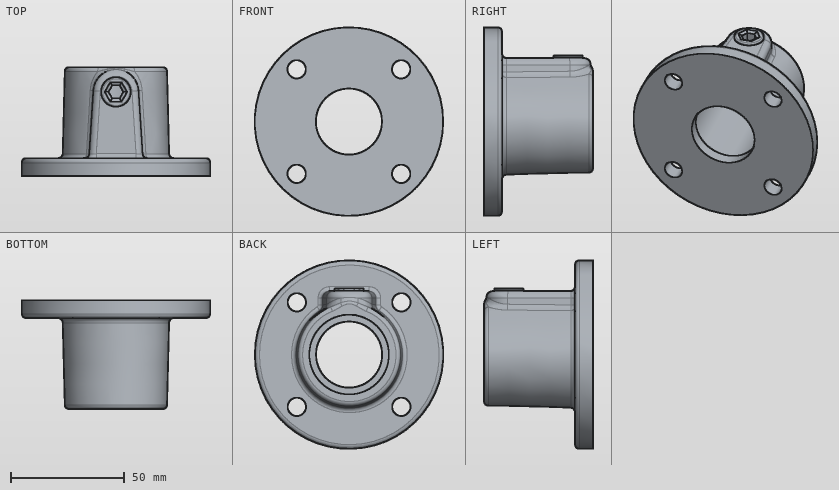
import cadquery as cq
import math

flange_diameter = 83.0
flange_thickness = 8.0
bolt_hole_diameter = 8.0
bolt_circle_diameter = 65.0
bolt_count = 4
first_bolt_angle = 45

overall_depth = 48.0
hub_end_radius = 22.5
hub_root_radius = 23.5

edge_round = 2.0

trim_allowance = 6.6

entry_bore_diameter = 29.0
entry_bore_depth = 5.7
socket_diameter = 35.0

pad_top = 28.0
pad_end_radius = 10.0
pad_taper_angle = 3.7
pad_edge_round = 3.0
pad_foot_fillet = 3.0

screw_y = 37.0
screw_diameter = 13.0
screw_top = 29.1
screw_tip = socket_diameter / 2
screw_edge_round = 0.62

hex_mouth_corners = 9.9
hex_corners = 6.55
hex_lead_in_depth = 0.8

pick_margin = 0.1


def cylinder_along_y(diameter, start, end):
    """Solid cylinder on the Y axis from y = start to y = end."""
    disc = cq.Workplane("XZ", origin=(0, start, 0)).circle(diameter / 2)
    return disc.extrude(start - end)


def make_flange():
    """Flange disc with its back rim rounded."""
    flange = cylinder_along_y(flange_diameter, 0, flange_thickness)
    return flange.faces(">Y").edges().fillet(edge_round)


def make_hub_blank():
    """Tapered hub on the Y axis, left long at its end; its seam is at the bottom."""
    taper_slope = (hub_root_radius - hub_end_radius) / (overall_depth - flange_thickness)
    blank_end_radius = hub_end_radius - taper_slope * trim_allowance
    blank_end = overall_depth + trim_allowance
    half_section = (
        cq.Workplane("YZ")
        .moveTo(flange_thickness, 0)
        .lineTo(flange_thickness, -hub_root_radius)
        .lineTo(blank_end, -blank_end_radius)
        .lineTo(blank_end, 0)
        .close()
    )
    return half_section.revolve(360, (0, 0, 0), (1, 0, 0))


def make_pad():
    """Pad that widens toward the flange, with its top edge rounded."""
    taper = math.radians(pad_taper_angle)
    tangent_x = pad_end_radius * math.cos(taper)
    tangent_y = screw_y + pad_end_radius * math.sin(taper)
    root_x = tangent_x + (tangent_y - flange_thickness) * math.tan(taper)
    pad = (
        cq.Workplane("XY")
        .moveTo(-root_x, flange_thickness)
        .lineTo(-tangent_x, tangent_y)
        .threePointArc((0, screw_y + pad_end_radius), (tangent_x, tangent_y))
        .lineTo(root_x, flange_thickness)
        .close()
        .extrude(pad_top)
    )
    return pad.faces(">Z").edges("not <Y").fillet(pad_edge_round)


def fillet_pad_foot(casting):
    """Fillet the corner where the pad rises out of the hub."""
    pad_foot = cq.selectors.BoxSelector(
        (-hub_end_radius, flange_thickness - pick_margin, 0),
        (hub_end_radius, overall_depth, hub_end_radius),
        boundingbox=True,
    )
    return casting.edges(pad_foot).fillet(pad_foot_fillet)


def trim_hub_end(casting):
    """Cut the hub to length and round its end."""
    surplus = cylinder_along_y(flange_diameter, overall_depth, overall_depth + trim_allowance)
    return casting.cut(surplus).faces(">Y").edges().fillet(edge_round)


def fillet_flange_corner(casting):
    """Fillet the hub and pad into the back face of the flange."""
    reach = pad_top + pick_margin
    flange_corner = cq.selectors.BoxSelector(
        (-reach, flange_thickness - pick_margin, -reach),
        (reach, flange_thickness + pick_margin, reach),
        boundingbox=True,
    )
    return casting.edges(flange_corner).fillet(edge_round)


def make_bolt_holes():
    """Cutters for the holes spaced evenly around the flange."""
    return (
        cq.Workplane("XZ")
        .polarArray(bolt_circle_diameter / 2, first_bolt_angle, 360, bolt_count)
        .circle(bolt_hole_diameter / 2)
        .extrude(-flange_thickness)
    )


def make_housing():
    """Flange, hub and pad in one casting, bored and drilled."""
    casting = make_flange().union(make_hub_blank()).union(make_pad())
    casting = fillet_pad_foot(casting)
    casting = trim_hub_end(casting)
    casting = fillet_flange_corner(casting)
    entry_bore = cylinder_along_y(entry_bore_diameter, 0, entry_bore_depth)
    socket = cylinder_along_y(socket_diameter, entry_bore_depth, overall_depth)
    screw_hole = cq.Workplane("XY").center(0, screw_y).circle(screw_diameter / 2).extrude(pad_top)
    return casting.cut(entry_bore).cut(socket).cut(make_bolt_holes()).cut(screw_hole)


def make_set_screw():
    """Set screw with a rounded top edge and a hexagon hole right through."""
    base = cq.Workplane("XY", origin=(0, screw_y, screw_tip))
    screw = base.circle(screw_diameter / 2).extrude(screw_top - screw_tip)
    screw = screw.faces(">Z").edges().fillet(screw_edge_round)
    hexagon = base.polygon(6, hex_corners).extrude(screw_top - screw_tip)
    lead_in = (
        cq.Workplane("XY", origin=(0, screw_y, screw_top))
        .polygon(6, hex_mouth_corners)
        .workplane(offset=-hex_lead_in_depth)
        .polygon(6, hex_corners)
        .loft(ruled=True)
    )
    return screw.cut(hexagon).cut(lead_in)


housing = make_housing()
set_screw = make_set_screw()
result = cq.Compound.makeCompound([housing.val(), set_screw.val()])